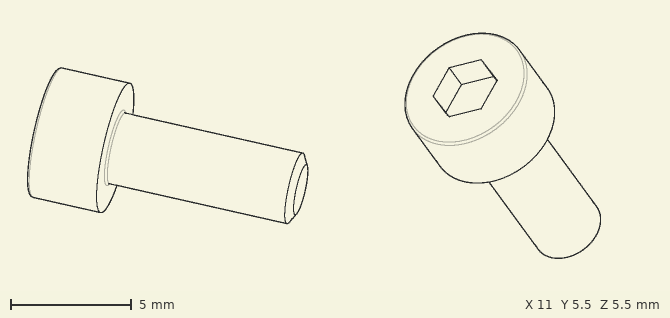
import cadquery as cq
import math

total_length = 11.0
head_diameter = total_length / 2
head_height = 3.0
shank_diameter = head_height
head_edge_radius = 0.1
neck_radius = 0.1
tip_length = 0.25
tip_angle = 60.0
socket_across_flats = 2.5
socket_depth = 1.3

head_radius = head_diameter / 2
shank_radius = shank_diameter / 2
tip_radius = shank_radius - tip_length * math.tan(math.radians(tip_angle))


def arc_middle(center_x, center_y, radius, angle):
    """Point on a circle, used as the middle of a quarter arc."""
    direction = math.radians(angle)
    return (center_x + radius * math.cos(direction), center_y + radius * math.sin(direction))


def make_body():
    """Head and shank, revolved about the X axis."""
    edge_middle = arc_middle(head_edge_radius, head_radius - head_edge_radius, head_edge_radius, 135)
    neck_middle = arc_middle(head_height + neck_radius, shank_radius + neck_radius, neck_radius, 225)
    return (
        cq.Workplane("XY")
        .lineTo(0, head_radius - head_edge_radius)
        .threePointArc(edge_middle, (head_edge_radius, head_radius))
        .lineTo(head_height, head_radius)
        .lineTo(head_height, shank_radius + neck_radius)
        .threePointArc(neck_middle, (head_height + neck_radius, shank_radius))
        .lineTo(total_length - tip_length, shank_radius)
        .lineTo(total_length, tip_radius)
        .lineTo(total_length, 0)
        .close()
        .revolve(360, (0, 0, 0), (1, 0, 0))
    )


def make_socket():
    """Flat-bottomed hexagon with two corners along Y."""
    across_corners = socket_across_flats / math.cos(math.radians(30))
    return cq.Workplane("YZ").polygon(6, across_corners).extrude(socket_depth)


body = make_body().cut(make_socket())

result = body.translate((-total_length / 2, 0, 0))